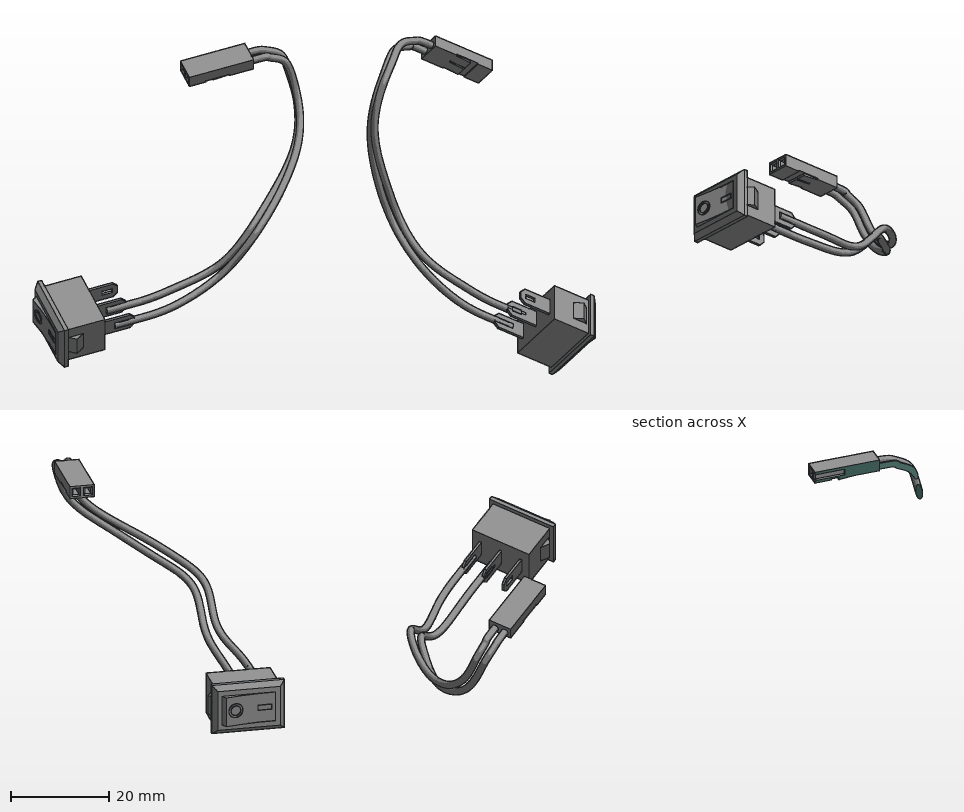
import cadquery as cq


BODY_WIDTH = 13.4
BODY_HEIGHT = 8.7
BODY_DEPTH = 8.3
BEZEL_WIDTH = 15.1
BEZEL_HEIGHT = 10.6
BEZEL_THICKNESS = 1.9
BEZEL_BEVEL = 1.05

CLIP_HEIGHT = 4.1
CLIP_SPAN = 15.5
CLIP_FRONT_Y = 0.4
CLIP_TIP_Y = 1.8
CLIP_BACK_Y = 3.65

ROCKER_HEIGHT = 6.3
ROCKER_FOOT_X = -5.65
ROCKER_CREST_X = -5.0
ROCKER_END_X = 5.45
ROCKER_RAISED = 1.05
ROCKER_MIDDLE = 0.3
ROCKER_LOWERED = 0.1
RING_X = -2.9
RING_OUTER_DIAMETER = 3.0
RING_INNER_DIAMETER = 2.1
BAR_X = 3.25
BAR_LENGTH = 2.85
BAR_HEIGHT = 1.1
MARK_DEPTH = 0.2

TERMINAL_PITCH = 4.75
TERMINAL_LENGTH = 7.1
TERMINAL_HEIGHT = 3.65
TERMINAL_THICKNESS = 0.5
TERMINAL_CHAMFER = 1.0
SLOT_LENGTH = 2.2
SLOT_HEIGHT = 1.05
SLOT_END_MARGIN = 1.2

PLUG_X = -25.7
PLUG_FRONT_Y = 38.25
PLUG_WIDTH = 5.05
PLUG_LENGTH = 14.0
PLUG_HEIGHT = 2.65
PLUG_TOP_Z = 35.3
SOCKET_PITCH = 2.45
SOCKET_SIZE = 1.25
SOCKET_BEVEL = 0.29
SOCKET_DEPTH = 6.5
LATCH_RECESS_DEPTH = 0.25
LATCH_RECESS_START = 3.6
LATCH_RECESS_LENGTH = 5.1
LATCH_LENGTH = 3.5
LATCH_WIDTH = 2.1
LATCH_DROP = 0.25

WIRE_DIAMETER = 1.5
STRAIGHT_START_Y = 11.05
STRAIGHT_END_Y = 17.85
PLUG_ENTRY_Z = 33.75

bezel_face_y = -BEZEL_THICKNESS
terminal_tip_y = BODY_DEPTH + TERMINAL_LENGTH
plug_back_y = PLUG_FRONT_Y + PLUG_LENGTH
plug_middle_z = PLUG_TOP_Z - PLUG_HEIGHT / 2
plug_bottom_z = PLUG_TOP_Z - PLUG_HEIGHT

MIDDLE_LEAD_ROUTE = [
    (0.42, STRAIGHT_END_Y, 0),
    (-0.1, 26.75, 0.65),
    (-0.8, 36.6, 3.3),
    (-1.4, 42.4, 8.9),
    (-6.3, 49.35, 12.4),
    (-11.5, 55.2, 14.9),
    (-16.2, 59.0, 17.45),
    (-23.05, 61.2, 23.05),
    (-25.4, 60.5, 27.85),
    (-26.5, 58.95, 31.7),
    (-26.8, 56.35, 33.1),
    (-26.9, plug_back_y, PLUG_ENTRY_Z),
]
END_LEAD_ROUTE = [
    (4.9, STRAIGHT_END_Y, 0),
    (3.95, 26.75, 0.65),
    (1.7, 36.6, 3.7),
    (1.0, 42.45, 9.7),
    (-2.8, 48.2, 12.85),
    (-8.6, 54.3, 15.65),
    (-13.8, 58.4, 18.05),
    (-19.2, 60.7, 21.55),
    (-22.6, 60.9, 25.85),
    (-23.95, 60.25, 29.5),
    (-24.5, 58.95, 31.7),
    (-24.7, 56.35, 33.1),
    (-24.6, plug_back_y, PLUG_ENTRY_Z),
]


def block(width, depth, height, x, front_y, z):
    """Box centred on x and z that reaches back from front_y."""
    return cq.Workplane("XY").box(width, depth, height).translate((x, front_y + depth / 2, z))


def make_housing():
    """Rectangular body behind a bezel with bevelled front edges."""
    body = block(BODY_WIDTH, BODY_DEPTH, BODY_HEIGHT, 0, 0, 0)
    bezel = block(BEZEL_WIDTH, BEZEL_THICKNESS, BEZEL_HEIGHT, 0, bezel_face_y, 0)
    bezel = bezel.faces("<Y").chamfer(BEZEL_BEVEL)
    return body.union(bezel)


def make_clip(side):
    """Wedge on the end of the housing; side is -1 or 1."""
    root_x = side * BODY_WIDTH / 2
    tip_x = side * CLIP_SPAN / 2
    outline = [(root_x, CLIP_FRONT_Y), (tip_x, CLIP_TIP_Y), (root_x, CLIP_BACK_Y)]
    return cq.Workplane("XY").polyline(outline).close().extrude(CLIP_HEIGHT / 2, both=True)


def make_rocker():
    """Rocker with a hollow front face, reaching back to the plane of the bezel's rear."""
    middle_x = (ROCKER_CREST_X + ROCKER_END_X) / 2
    return (
        cq.Workplane("XY")
        .moveTo(ROCKER_FOOT_X, 0)
        .lineTo(ROCKER_FOOT_X, bezel_face_y)
        .lineTo(ROCKER_CREST_X, bezel_face_y - ROCKER_RAISED)
        .threePointArc(
            (middle_x, bezel_face_y - ROCKER_MIDDLE),
            (ROCKER_END_X, bezel_face_y - ROCKER_LOWERED),
        )
        .lineTo(ROCKER_END_X, 0)
        .close()
        .extrude(ROCKER_HEIGHT / 2, both=True)
    )


def make_rocker_marks(rocker):
    """Cutter for the ring and bar, sunk evenly below the curved face of the rocker."""
    front = cq.Workplane("XZ", origin=(0, bezel_face_y / 2, 0))
    reach = BEZEL_THICKNESS + ROCKER_RAISED
    ring = (
        front.center(RING_X, 0)
        .circle(RING_OUTER_DIAMETER / 2)
        .circle(RING_INNER_DIAMETER / 2)
        .extrude(reach)
    )
    bar = front.center(BAR_X, 0).rect(BAR_LENGTH, BAR_HEIGHT).extrude(reach)
    return ring.union(bar).cut(rocker.translate((0, MARK_DEPTH, 0)))


def make_terminal(x):
    """Flat blade with chamfered corners and a slot near its tip."""
    blade = block(TERMINAL_THICKNESS, TERMINAL_LENGTH, TERMINAL_HEIGHT, x, BODY_DEPTH, 0)
    blade = blade.faces(">Y").edges("|X").chamfer(TERMINAL_CHAMFER)
    slot_front_y = terminal_tip_y - SLOT_END_MARGIN - SLOT_LENGTH
    return blade.cut(block(TERMINAL_THICKNESS, SLOT_LENGTH, SLOT_HEIGHT, x, slot_front_y, 0))


def make_switch():
    rocker = make_rocker()
    switch = make_housing().union(rocker).cut(make_rocker_marks(rocker))
    for side in (-1, 1):
        switch = switch.union(make_clip(side))
    for position in (-1, 0, 1):
        switch = switch.union(make_terminal(position * TERMINAL_PITCH))
    return switch


def make_socket(x):
    """Cutter for a square pin socket with a bevelled mouth."""
    mouth_size = SOCKET_SIZE + 2 * SOCKET_BEVEL
    hole = block(SOCKET_SIZE, SOCKET_DEPTH, SOCKET_SIZE, x, PLUG_FRONT_Y, plug_middle_z)
    mouth = (
        cq.Workplane("XZ", origin=(x, PLUG_FRONT_Y, plug_middle_z))
        .rect(mouth_size, mouth_size)
        .workplane(offset=-SOCKET_BEVEL)
        .rect(SOCKET_SIZE, SOCKET_SIZE)
        .loft(ruled=True)
    )
    return hole.union(mouth)


def make_latch(x):
    """Ramp under the plug that drops toward its free front end."""
    root_y = PLUG_FRONT_Y + LATCH_RECESS_START + LATCH_RECESS_LENGTH
    free_y = root_y - LATCH_LENGTH
    recess_z = plug_bottom_z + LATCH_RECESS_DEPTH
    outline = [
        (root_y, recess_z),
        (root_y, plug_bottom_z),
        (free_y, plug_bottom_z - LATCH_DROP),
        (free_y, recess_z),
    ]
    return (
        cq.Workplane("YZ", origin=(x, 0, 0))
        .polyline(outline)
        .close()
        .extrude(LATCH_WIDTH / 2, both=True)
    )


def make_plug():
    plug = block(PLUG_WIDTH, PLUG_LENGTH, PLUG_HEIGHT, PLUG_X, PLUG_FRONT_Y, plug_middle_z)
    recess_y = PLUG_FRONT_Y + LATCH_RECESS_START
    recess_z = plug_bottom_z + LATCH_RECESS_DEPTH / 2
    plug = plug.cut(block(PLUG_WIDTH, LATCH_RECESS_LENGTH, LATCH_RECESS_DEPTH, PLUG_X, recess_y, recess_z))
    for side in (-1, 1):
        pin_x = PLUG_X + side * SOCKET_PITCH / 2
        plug = plug.cut(make_socket(pin_x)).union(make_latch(pin_x))
    return plug


def make_wire(route, switch):
    """Lead from a terminal to the plug, with its straight end notched around the terminal blade."""
    start_x, start_y, start_z = route[0]
    along_y = cq.Vector(0, 1, 0)
    path = cq.Edge.makeSpline([cq.Vector(*point) for point in route], tangents=[along_y, -along_y])
    section = cq.Workplane("XZ", origin=route[0]).circle(WIRE_DIAMETER / 2)
    lead = section.sweep(cq.Workplane(path))
    straight = (
        cq.Workplane("XZ", origin=(start_x, start_y, start_z))
        .circle(WIRE_DIAMETER / 2)
        .extrude(STRAIGHT_END_Y - STRAIGHT_START_Y)
    )
    return lead.union(straight).cut(switch)


switch = make_switch()
plug = make_plug()
wires = [make_wire(route, switch) for route in (MIDDLE_LEAD_ROUTE, END_LEAD_ROUTE)]

bodies = [switch, plug, *wires]
result = cq.Compound.makeCompound([solid for body in bodies for solid in body.solids().vals()])